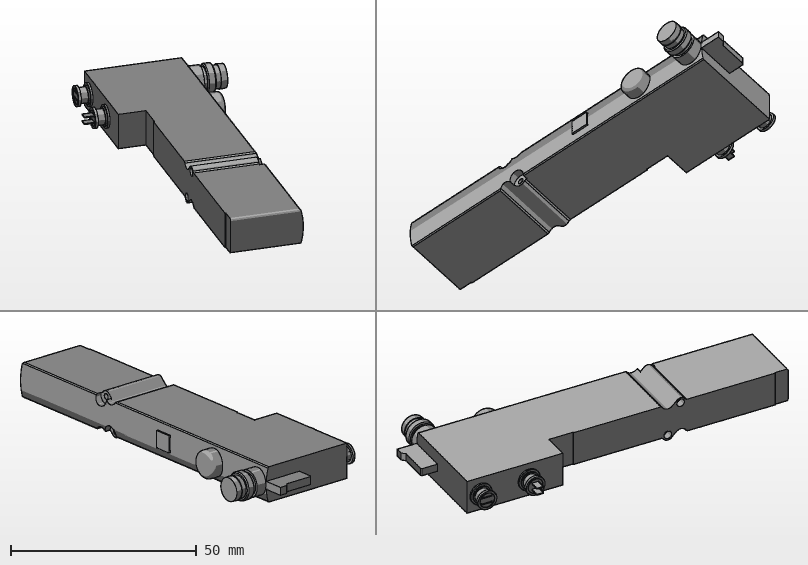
import cadquery as cq
import math


body_length = 102.5
body_rear = 28.4
body_thickness = 10.2
half_thickness = body_thickness / 2
head_length = 29.3
front_step = 7.8
plate_start = 36.7
plate_end = 98.4
plate_height = 0.27
end_fillet = 0.7
rear_crown = 0.7
rear_bevel_depth = 0.3
rear_bevel_height = 0.3

lever_reach = 6.0
lever_stem_reach = 5.0
lever_length = 11.7
lever_tip_length = 2.2
lever_thickness = 2.3
lever_chamfer = 0.3

tube_x = 69.4
groove_x = 65.5
tube_z = 4.6
groove_z = 5.8
tube_radius = 1.6
groove_radius = 2.0
lip_bevel = 0.3
bore_diameter = 1.6
bore_mouth_diameter = 2.3
bore_mouth_depth = 2.3
counterbore_diameter = 4.5
counterbore_depth = 2.3

connector_x = 4.0
knob_x = 22.1
knob_diameter = 8.0
knob_height = 3.3
knob_fillet = 1.1
label_start = 40.1
label_length = 5.2
label_height = 5.0
label_rise = 0.3

fitting_x = 4.1
fitting_pitch = 14.8
blade_offset = 1.0
blade_thickness = 0.3
blade_width = 2.1
blade_length = 2.6
slot_width = 3.1
slot_depth = 1.1
disc_recess_diameter = 4.5
disc_recess_depth = 0.2

embed = 0.5

fitting_height = 3.9
fitting_face = -fitting_height
fitting_sections = [
    (6.5, -embed, 0.5),
    (5.3, 0.5, 1.0),
    (4.5, 1.0, 3.1),
    (5.8, 3.1, fitting_height),
]


def block(x_start, x_end, y_start, y_end, height, z_middle=0):
    """Box between the given X and Y limits, with its height centred on z_middle."""
    return (
        cq.Workplane("XY")
        .box(x_end - x_start, y_end - y_start, height)
        .translate(((x_start + x_end) / 2, (y_start + y_end) / 2, z_middle))
    )


def rod(x, z, diameter, y_start, y_end):
    """Cylinder along Y."""
    base = cq.Workplane("XZ", origin=(x, y_start, z))
    return base.circle(diameter / 2).extrude(y_start - y_end)


def half_chord(radius, distance):
    """Half the chord that a line at this distance from the centre cuts from a circle."""
    return math.sqrt(radius**2 - distance**2)


def cone(x, z, start_diameter, end_diameter, y_start, y_end):
    """Truncated cone along +Y."""
    solid = cq.Solid.makeCone(
        start_diameter / 2,
        end_diameter / 2,
        y_end - y_start,
        pnt=cq.Vector(x, y_start, z),
        dir=cq.Vector(0, 1, 0),
    )
    return cq.Workplane(obj=solid)


def stacked_rods(x, y_base, direction, sections):
    """Coaxial cylinders along Y from (diameter, start, end) distances off the base face."""
    stack = None
    for diameter, start, end in sections:
        section = rod(x, 0, diameter, y_base + direction * start, y_base + direction * end)
        stack = section if stack is None else stack.union(section)
    return stack


def make_body():
    crown_y = body_rear - rear_crown
    crown_z = half_thickness - rear_bevel_height
    bevel_y = crown_y - rear_bevel_depth
    section = (
        cq.Workplane("YZ")
        .moveTo(0, -half_thickness)
        .lineTo(bevel_y, -half_thickness)
        .lineTo(crown_y, -crown_z)
        .threePointArc((body_rear, 0), (crown_y, crown_z))
        .lineTo(bevel_y, half_thickness)
        .lineTo(0, half_thickness)
        .close()
        .extrude(body_length)
    )
    notch = block(head_length, body_length, 0, front_step, body_thickness)
    body = section.cut(notch)
    end_edges = body.faces(">X").edges("|Y")
    body = end_edges.fillet(end_fillet)
    plate_front = front_step - plate_height
    plate = block(plate_start, plate_end, plate_front, front_step + embed, body_thickness)
    return body.union(plate)


def make_lever():
    lever_end = body_rear - lever_length
    tip_end = body_rear - lever_tip_length
    neck_y = tip_end - (lever_reach - lever_stem_reach)
    return (
        cq.Workplane("XY", origin=(0, 0, -lever_thickness / 2))
        .moveTo(embed, body_rear)
        .lineTo(-lever_reach, body_rear)
        .lineTo(-lever_reach, tip_end)
        .lineTo(-lever_stem_reach, neck_y)
        .lineTo(-lever_stem_reach, lever_end + lever_chamfer)
        .lineTo(-lever_stem_reach + lever_chamfer, lever_end)
        .lineTo(embed, lever_end)
        .lineTo(embed, body_rear)
        .close()
        .extrude(lever_thickness)
    )


def add_screw_channel(body):
    """Top screw tube with its bore, next to the groove that it blends into."""
    tube_front = front_step - plate_height
    tube_rear = body_rear - counterbore_depth

    run = groove_x - tube_x
    rise = groove_z - tube_z
    swing = math.acos((tube_radius + groove_radius) / math.hypot(run, rise))
    normal_angle = math.atan2(rise, run) - swing
    normal_x = math.cos(normal_angle)
    normal_z = math.sin(normal_angle)
    flank_top = (tube_x + tube_radius * normal_x, tube_z + tube_radius * normal_z)
    flank_foot = (groove_x - groove_radius * normal_x, groove_z - groove_radius * normal_z)
    flank_run_per_rise = (flank_top[0] - flank_foot[0]) / (flank_top[1] - flank_foot[1])
    flank_middle_x = flank_foot[0] + (half_thickness - flank_foot[1]) * flank_run_per_rise
    flank_middle = (flank_middle_x, half_thickness)

    lip_z = half_thickness - lip_bevel
    lip_edge = groove_x - half_chord(groove_radius, groove_z - half_thickness)
    lip_floor = groove_x - half_chord(groove_radius, groove_z - lip_z)
    groove = (
        cq.Workplane("XZ")
        .moveTo(lip_edge - lip_bevel, half_thickness)
        .lineTo(lip_floor, lip_z)
        .threePointArc((groove_x, groove_z - groove_radius), flank_foot)
        .lineTo(*flank_middle)
        .close()
        .extrude(-body_rear)
    )

    foot_z = half_thickness + lip_bevel
    foot_edge = tube_x + half_chord(tube_radius, half_thickness - tube_z)
    foot_top = tube_x + half_chord(tube_radius, foot_z - tube_z)
    tube = (
        cq.Workplane("XZ", origin=(0, tube_front, 0))
        .moveTo(*flank_middle)
        .lineTo(*flank_top)
        .threePointArc((tube_x, tube_z + tube_radius), (foot_top, foot_z))
        .lineTo(foot_edge + lip_bevel, half_thickness)
        .close()
        .extrude(tube_front - tube_rear)
    )

    bore = rod(tube_x, tube_z, bore_diameter, 0, body_rear)
    mouth = rod(tube_x, tube_z, bore_mouth_diameter, tube_front, tube_front + bore_mouth_depth)
    counterbore = rod(tube_x, tube_z, counterbore_diameter, tube_rear, body_rear)
    return body.cut(groove).union(tube).cut(bore).cut(mouth).cut(counterbore)


def make_connector():
    boss_diameter = 7.8
    boss_height = 3.0
    core_diameter = 6.5
    barb_diameter = 6.9
    tip_diameter = 6.7
    flange_diameter = 8.1
    flange_chamfer = 0.3
    tip = 9.8
    barb_start, barb_peak = 7.9, 8.5
    flange_start, flange_end = 4.0, 6.4
    sections = [
        (boss_diameter, -embed, boss_height),
        (core_diameter, boss_height, tip),
        (barb_diameter, barb_start, barb_peak),
    ]
    connector = stacked_rods(connector_x, body_rear, 1, sections)
    flange = rod(connector_x, 0, flange_diameter, body_rear + flange_start, body_rear + flange_end)
    flange = flange.edges().chamfer(flange_chamfer)
    barb_taper = cone(
        connector_x, 0, barb_diameter, tip_diameter, body_rear + barb_peak, body_rear + tip
    )
    return connector.union(flange).union(barb_taper)


def make_knob():
    knob = rod(knob_x, 0, knob_diameter, body_rear - embed, body_rear + knob_height)
    return knob.faces(">Y").edges().fillet(knob_fillet)


def make_label():
    label_end = label_start + label_length
    return block(label_start, label_end, body_rear - embed, body_rear + label_rise, label_height)


def make_fitting(x):
    fitting = stacked_rods(x, 0, -1, fitting_sections)
    recess = rod(x, 0, disc_recess_diameter, fitting_face, fitting_face + disc_recess_depth)
    return fitting.cut(recess)


def blade_pair(x, width, y_start, y_end):
    """Two flat blades, above and below the fitting axis."""
    upper, lower = (
        block(x - width / 2, x + width / 2, y_start, y_end, blade_thickness, z)
        for z in (blade_offset, -blade_offset)
    )
    return upper.union(lower)


def make_slotted_fitting():
    slots = blade_pair(fitting_x, slot_width, fitting_face, fitting_face + slot_depth)
    return make_fitting(fitting_x).cut(slots)


def make_bladed_fitting():
    x = fitting_x + fitting_pitch
    blades = blade_pair(x, blade_width, fitting_face - blade_length, fitting_face + embed)
    return make_fitting(x).union(blades)


turn_axis_x = (tube_x + groove_x) / 2
turn_axis = ((turn_axis_x, 0, 0), (turn_axis_x, 1, 0))

result = make_body()
for _ in range(2):
    result = add_screw_channel(result).rotate(*turn_axis, 180)

for feature in (
    make_lever(),
    make_connector(),
    make_knob(),
    make_label(),
    make_slotted_fitting(),
    make_bladed_fitting(),
):
    result = result.union(feature)